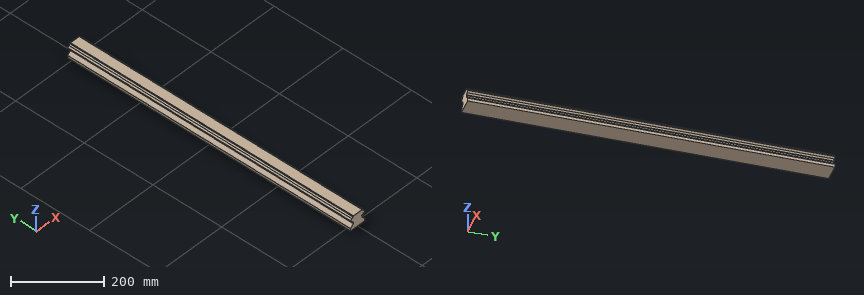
import cadquery as cq
import math

length = 825.0
width = 45.0
height = 38.0
half_width = width / 2

half_neck = 14.0
foot_height = 7.5
neck_bottom = foot_height + (half_width - half_neck)
neck_top = 20.0

half_crown = half_neck
chamfer_width = 2.0
chamfer_height = 1.2
groove_radius = 3.0
lip_height = 2.1
half_crown_base = half_crown + chamfer_width
half_shoulder = half_crown_base + groove_radius
shoulder_height = half_width - half_shoulder

lip_level = lip_height / 2
shoulder_level = lip_level + shoulder_height
groove_level = shoulder_level + groove_radius
lip_middle = height - chamfer_height - groove_level

groove_offset = groove_radius * math.sqrt(0.5)
groove_middle_x = half_shoulder - groove_offset
groove_middle_level = groove_level - groove_offset


def half_section():
    """Right half of the cross-section, closed along the centre plane."""
    return (
        cq.Workplane("XZ")
        .lineTo(half_width, 0)
        .lineTo(half_width, foot_height)
        .lineTo(half_neck, neck_bottom)
        .lineTo(half_neck, neck_top)
        .lineTo(half_crown_base, lip_middle - groove_level)
        .threePointArc(
            (groove_middle_x, lip_middle - groove_middle_level),
            (half_shoulder, lip_middle - shoulder_level),
        )
        .lineTo(half_width, lip_middle - lip_level)
        .lineTo(half_width, lip_middle + lip_level)
        .lineTo(half_shoulder, lip_middle + shoulder_level)
        .threePointArc(
            (groove_middle_x, lip_middle + groove_middle_level),
            (half_crown_base, lip_middle + groove_level),
        )
        .lineTo(half_crown, height)
        .lineTo(0, height)
        .close()
    )


half_rail = half_section().extrude(length / 2, both=True)
result = half_rail.union(half_rail.mirror("YZ")).clean()